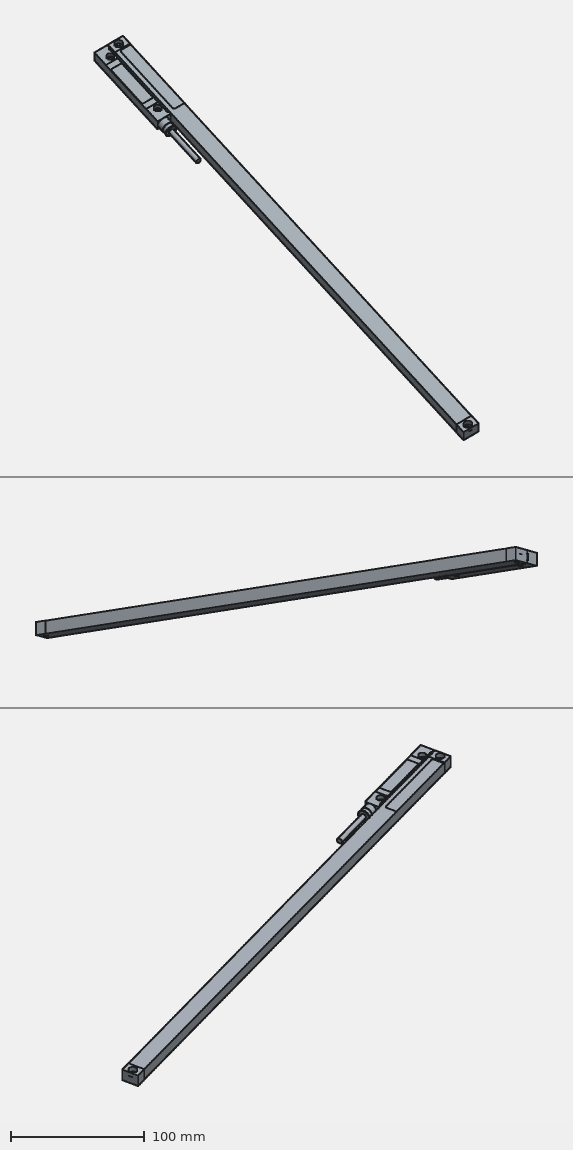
import cadquery as cq

RAIL_LENGTH = 450.0
RAIL_WIDTH = 14.0
RAIL_HEIGHT = 10.0
END_BLOCK_LENGTH = 9.0
END_BLOCK_STEP = 0.1
END_BLOCK_HEIGHT = RAIL_HEIGHT + END_BLOCK_STEP
TOTAL_WIDTH = 26.5
RAIL_FRONT = TOTAL_WIDTH - RAIL_WIDTH
RAIL_HOLE_INSET = 4.0
RAIL_HOLE_DIAMETER = 3.4
RAIL_BORE_DIAMETER = 6.8
RAIL_BORE_DEPTH = 4.3

LABEL_THICKNESS = 0.1
RAIL_LABEL_START = 10.0
RAIL_LABEL_LENGTH = 68.0
RAIL_LABEL_WIDTH = 10.0
RAIL_LABEL_RADIUS = 1.5

HEAD_LENGTH = 80.0
HEAD_WIDTH = 12.0
HEAD_HEIGHT = RAIL_HEIGHT
HEAD_MIDDLE = HEAD_LENGTH / 2
HEAD_HOLE_SPACING = 60.0
HEAD_HOLE_Y = 7.5
HEAD_HOLE_DIAMETER = 3.4
HEAD_BORE_DIAMETER = 6.2
HEAD_BORE_DEPTH = 4.0

RELIEF_DEPTH = 1.0
RELIEF_WALL = 3.0
NOTCH_HEIGHT = 5.0

STEP_LENGTH = 51.0
STEP_DEPTH = 0.2
HEAD_LABEL_LENGTH = 40.0
HEAD_LABEL_MARGIN = 0.4
HEAD_LABEL_RADIUS = 1.5

OUTLET_Y = 5.0
OUTLET_DIAMETER = 9.8
GROOVE_DIAMETER = 9.0
OUTLET_COLLAR_LENGTH = 6.0
OUTLET_GROOVE_LENGTH = 3.7
OUTLET_RIM_LENGTH = 0.8
CABLE_DIAMETER = 4.5
CABLE_END = 125.0


def block(x, y, z, length, width, height):
    """A box whose lowest corner is at (x, y, z)."""
    return cq.Workplane("XY", origin=(x, y, z)).box(length, width, height, centered=False)


def counterbores(places, top, hole_diameter, bore_diameter, bore_depth):
    """Cutters for counterbored through holes that open at the height `top`."""
    holes = cq.Workplane("XY").pushPoints(places).circle(hole_diameter / 2).extrude(top)
    bores = (
        cq.Workplane("XY", origin=(0, 0, top - bore_depth))
        .pushPoints(places)
        .circle(bore_diameter / 2)
        .extrude(bore_depth)
    )
    return holes.union(bores)


def make_rail():
    rail = block(
        END_BLOCK_LENGTH,
        RAIL_FRONT + END_BLOCK_STEP,
        0,
        RAIL_LENGTH - 2 * END_BLOCK_LENGTH,
        RAIL_WIDTH - 2 * END_BLOCK_STEP,
        RAIL_HEIGHT,
    )
    for x in (0, RAIL_LENGTH - END_BLOCK_LENGTH):
        rail = rail.union(block(x, RAIL_FRONT, 0, END_BLOCK_LENGTH, RAIL_WIDTH, END_BLOCK_HEIGHT))
    label = block(
        RAIL_LABEL_START,
        TOTAL_WIDTH - END_BLOCK_STEP - RAIL_LABEL_WIDTH,
        RAIL_HEIGHT,
        RAIL_LABEL_LENGTH,
        RAIL_LABEL_WIDTH,
        LABEL_THICKNESS,
    )
    label = label.edges("|Z and <Y").fillet(RAIL_LABEL_RADIUS)
    hole_y = RAIL_FRONT + RAIL_WIDTH / 2
    places = [(x, hole_y) for x in (RAIL_HOLE_INSET, RAIL_LENGTH - RAIL_HOLE_INSET)]
    cutters = counterbores(
        places, END_BLOCK_HEIGHT, RAIL_HOLE_DIAMETER, RAIL_BORE_DIAMETER, RAIL_BORE_DEPTH
    )
    return rail.union(label).cut(cutters)


def make_cable_outlet():
    """Collar, groove, rim and cable, coaxial along X."""
    outlet = None
    start = HEAD_LENGTH
    rim_end = HEAD_LENGTH + OUTLET_COLLAR_LENGTH + OUTLET_GROOVE_LENGTH + OUTLET_RIM_LENGTH
    stages = (
        (OUTLET_DIAMETER, OUTLET_COLLAR_LENGTH),
        (GROOVE_DIAMETER, OUTLET_GROOVE_LENGTH),
        (OUTLET_DIAMETER, OUTLET_RIM_LENGTH),
        (CABLE_DIAMETER, CABLE_END - rim_end),
    )
    for diameter, length in stages:
        stage = (
            cq.Workplane("YZ", origin=(start, OUTLET_Y, HEAD_HEIGHT / 2))
            .circle(diameter / 2)
            .extrude(length)
        )
        outlet = stage if outlet is None else outlet.union(stage)
        start += length
    return outlet


def make_head():
    head = block(0, 0, 0, HEAD_LENGTH, HEAD_WIDTH, HEAD_HEIGHT)

    relief_y = HEAD_WIDTH - RELIEF_DEPTH
    relief_length = HEAD_LENGTH - 2 * RELIEF_WALL
    head = head.cut(block(RELIEF_WALL, relief_y, 0, relief_length, RELIEF_DEPTH, HEAD_HEIGHT))
    notch_z = (HEAD_HEIGHT - NOTCH_HEIGHT) / 2
    head = head.cut(block(0, relief_y, notch_z, RELIEF_WALL, RELIEF_DEPTH, NOTCH_HEIGHT))

    step_x = HEAD_MIDDLE - STEP_LENGTH / 2
    step_z = HEAD_HEIGHT - STEP_DEPTH
    head = head.cut(block(step_x, 0, step_z, STEP_LENGTH, HEAD_WIDTH, STEP_DEPTH))

    label = block(
        HEAD_MIDDLE - HEAD_LABEL_LENGTH / 2,
        HEAD_LABEL_MARGIN,
        step_z,
        HEAD_LABEL_LENGTH,
        relief_y - 2 * HEAD_LABEL_MARGIN,
        LABEL_THICKNESS,
    )
    head = head.union(label.edges("|Z").fillet(HEAD_LABEL_RADIUS))

    half_spacing = HEAD_HOLE_SPACING / 2
    places = [(HEAD_MIDDLE + side * half_spacing, HEAD_HOLE_Y) for side in (-1, 1)]
    head = head.cut(
        counterbores(places, HEAD_HEIGHT, HEAD_HOLE_DIAMETER, HEAD_BORE_DIAMETER, HEAD_BORE_DEPTH)
    )
    return head.union(make_cable_outlet())


rail = make_rail()
head = make_head()
result = cq.Compound.makeCompound([rail.val(), head.val()])